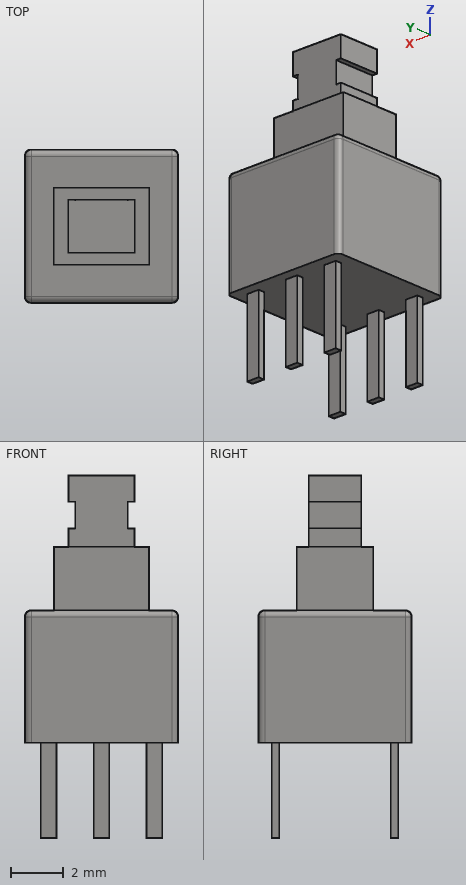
import cadquery as cq

housing_side = 5.8
housing_height = 5.0
housing_round = 0.25

collar_x = 3.6
collar_y = 2.9
collar_height = 2.4

plunger_x = 2.5
plunger_y = 2.0
plunger_height = 2.7
head_height = 1.0
notch_height = 1.0
notch_depth = 0.25

pin_x = 0.6
pin_y = 0.3
pin_length = 3.6
pin_pitch = 2.0
pin_row_spacing = 4.5
pin_columns = 3
pin_rows = 2

housing_top = housing_height
collar_top = housing_top + collar_height
plunger_top = collar_top + plunger_height


def centered_block(size_x, size_y, height, bottom):
    """Block centred on the Z axis, standing on the height 'bottom'."""
    block = cq.Workplane("XY").box(size_x, size_y, height, centered=(True, True, False))
    return block.translate((0, 0, bottom))


def make_housing():
    """Square housing with rounded upright and top edges."""
    block = centered_block(housing_side, housing_side, housing_height, 0)
    return block.edges("|Z or >Z").fillet(housing_round)


def make_plunger():
    """Plunger with a notch across each X side, below its head."""
    plunger = centered_block(plunger_x, plunger_y, plunger_height, collar_top)
    notch_bottom = plunger_top - head_height - notch_height
    cutter = centered_block(2 * notch_depth, plunger_y, notch_height, notch_bottom)
    for side in (-1, 1):
        plunger = plunger.cut(cutter.translate((side * plunger_x / 2, 0, 0)))
    return plunger


def make_pins():
    """Two rows of three flat pins hanging below the housing."""
    return (
        cq.Workplane("XY")
        .rarray(pin_pitch, pin_row_spacing, pin_columns, pin_rows)
        .rect(pin_x, pin_y)
        .extrude(-pin_length)
    )


collar = centered_block(collar_x, collar_y, collar_height, housing_top)
result = make_housing().union(collar).union(make_plunger()).union(make_pins())